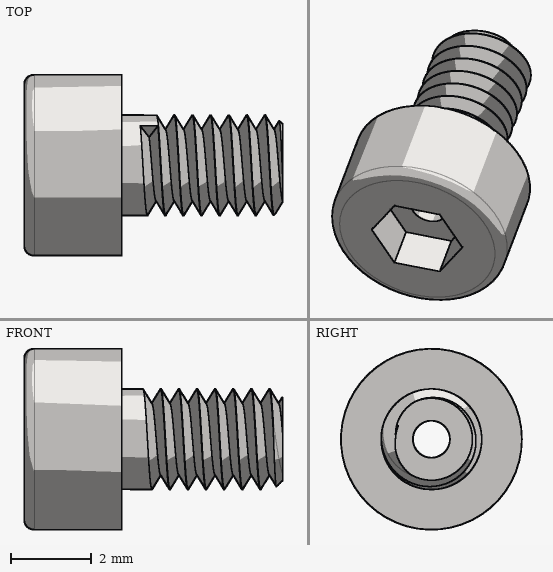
import cadquery as cq
import math

total_length = 6.43
head_diameter = 4.5
head_length = 2.43
head_edge_radius = 0.25
shank_diameter = 2.5
bore_diameter = 0.91
socket_across_flats = 2.02
socket_depth = 1.1

thread_pitch = 0.45
groove_width = 0.44
groove_depth = 0.36
plain_shank_length = 0.455
groove_start_angle = 38.5
groove_clearance = 0.005
tip_chamfer_length = 0.245
tip_chamfer_height = 0.23

head_face_x = -total_length / 2
head_back_x = head_face_x + head_length
tip_x = total_length / 2
shank_radius = shank_diameter / 2


def disc(start_x, length, diameter):
    """Cylinder along +X from start_x."""
    plane = cq.Workplane("YZ", origin=(start_x, 0, 0))
    return plane.circle(diameter / 2).extrude(length)


def make_head():
    head = disc(head_face_x, head_length, head_diameter)
    return head.faces("<X").edges().fillet(head_edge_radius)


def make_shank():
    shank = disc(head_face_x + socket_depth, total_length - socket_depth, shank_diameter)
    return shank.rotate((0, 0, 0), (1, 0, 0), 90)


def make_tip_envelope():
    """Plain chamfered cylinder that trims the end of the thread."""
    diameter = shank_diameter + 2 * groove_clearance
    envelope = disc(head_face_x, total_length, diameter)
    height = tip_chamfer_height + groove_clearance
    return envelope.faces(">X").chamfer(tip_chamfer_length, height)


def make_thread_cutter():
    """V groove swept along a helix about Z, then turned onto the X axis."""
    half_width = groove_width / 2
    start_x = head_back_x + plain_shank_length + half_width
    run = tip_x - start_x + thread_pitch
    turns = math.ceil(run / thread_pitch)
    helix = cq.Wire.makeHelix(thread_pitch, turns * thread_pitch, shank_radius)
    outer_radius = shank_radius + groove_clearance
    outer_half_width = half_width * (groove_depth + groove_clearance) / groove_depth
    profile = cq.Workplane("XZ").polyline([
        (shank_radius - groove_depth, 0),
        (outer_radius, outer_half_width),
        (outer_radius, -outer_half_width),
    ]).close()
    cutter = profile.sweep(cq.Workplane(obj=helix), isFrenet=True)
    cutter = cutter.rotate((0, 0, 0), (1, 1, 1), 120)
    cutter = cutter.rotate((0, 0, 0), (1, 0, 0), groove_start_angle)
    return cutter.translate((start_x, 0, 0))


def make_socket():
    """Hexagon with two corners on the Y axis."""
    across_corners = socket_across_flats / math.cos(math.pi / 6)
    plane = cq.Workplane("YZ", origin=(head_face_x, 0, 0))
    return plane.polygon(6, across_corners).extrude(socket_depth)


threaded_shank = make_shank().cut(make_thread_cutter())
threaded_shank = threaded_shank.intersect(make_tip_envelope())
result = make_head().union(threaded_shank)
result = result.cut(make_socket())
result = result.cut(disc(head_face_x, total_length, bore_diameter))